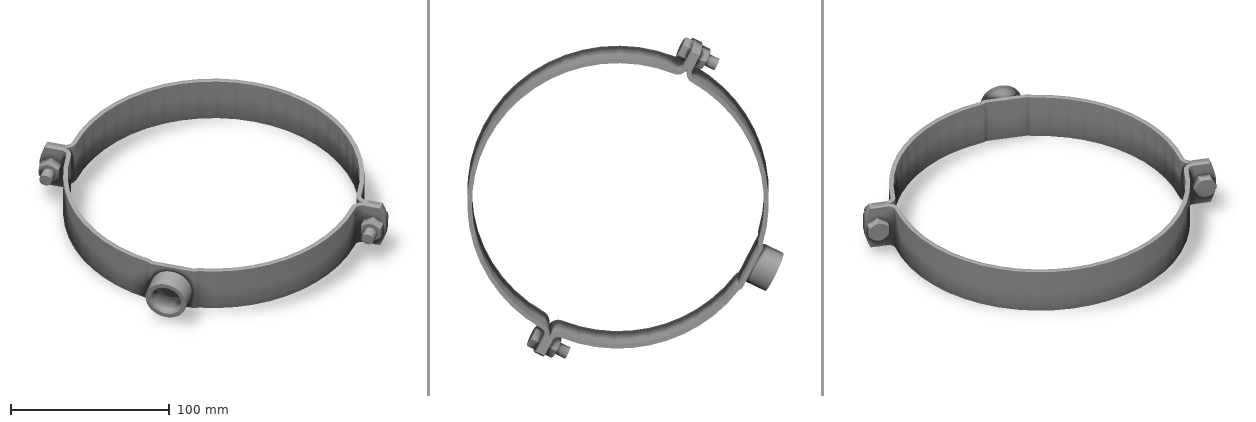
import cadquery as cq
import math

RING_DIAMETER = 190.0
STRIP = 3.0
WIDTH = 30.0
FLANGE_BEND = 4.0
FLANGE_TIP = 113.5
TIP_DROP = 3.6

SADDLE_FACE = 94.9
SADDLE_HALF = 13.5
SADDLE_BEND = 1.4

OVERALL_DEPTH = 205.0
SOCKET_DIAMETER = 26.5
SOCKET_BORE = 18.6
SOCKET_MOUTH = 20.9
SOCKET_BASE_CHAMFER = 1.8

BOLT_X = 105.5
BOLT_DIAMETER = 8.0
BOLT_LENGTH = 20.0
HEX_FLATS = 13.0
HEAD_HEIGHT = 5.5
NUT_HEIGHT = 6.5
HEX_CHAMFER_ANGLE = 30.0

RING_RADIUS = RING_DIAMETER / 2
SOCKET_END = OVERALL_DEPTH - RING_RADIUS
QUARTER_TURN = 90
HALF_TURN = 180
HEX_SIDES = 6
HEX_CORNERS = HEX_FLATS / math.cos(math.pi / HEX_SIDES)


def along(centre, distance, angle):
    """Point at a distance from a centre, the angle measured from +Y toward +X."""
    return (centre[0] + distance * math.sin(angle), centre[1] + distance * math.cos(angle))


def bend(outline, centre, radius, start, end):
    """Continue an outline with an arc that ends at the end angle."""
    middle = along(centre, radius, (start + end) / 2)
    return outline.threePointArc(middle, along(centre, radius, end))


def half_band(saddle):
    """Band on the +Y side of the parting plane, round or with a saddle at its middle."""
    origin = (0, 0)
    inner_radius = RING_RADIUS - STRIP
    wide_flange_bend = FLANGE_BEND + STRIP

    flange_centre_y = STRIP + FLANGE_BEND
    flange_centre = (math.sqrt((RING_RADIUS + FLANGE_BEND) ** 2 - flange_centre_y ** 2), flange_centre_y)
    ring_end = math.atan2(*flange_centre)
    down = math.pi
    bend_end = math.pi + ring_end

    if saddle:
        wide_bend = SADDLE_BEND + STRIP
        flat_centre = (SADDLE_HALF, SADDLE_FACE - wide_bend)
        reach = math.hypot(*flat_centre)
        ring_reach = RING_RADIUS + SADDLE_BEND
        spacing = SADDLE_BEND + wide_bend
        cosine = (reach ** 2 + ring_reach ** 2 - spacing ** 2) / (2 * reach * ring_reach)
        ring_start = math.atan2(*flat_centre) + math.acos(cosine)
        shoulder_centre = along(origin, ring_reach, ring_start)
        tilt = math.atan2(shoulder_centre[0] - flat_centre[0], shoulder_centre[1] - flat_centre[1])
        outline = cq.Workplane("XY").moveTo(0, SADDLE_FACE).lineTo(SADDLE_HALF, SADDLE_FACE)
        outline = bend(outline, flat_centre, wide_bend, 0, tilt)
        outline = bend(outline, shoulder_centre, SADDLE_BEND, math.pi + tilt, math.pi + ring_start)
    else:
        ring_start = 0
        outline = cq.Workplane("XY").moveTo(0, RING_RADIUS)

    outline = bend(outline, origin, RING_RADIUS, ring_start, ring_end)
    outline = bend(outline, flange_centre, FLANGE_BEND, bend_end, down)
    outline = outline.lineTo(FLANGE_TIP, STRIP).lineTo(FLANGE_TIP, 0).lineTo(flange_centre[0], 0)
    outline = bend(outline, flange_centre, wide_flange_bend, down, bend_end)
    outline = bend(outline, origin, inner_radius, ring_end, ring_start)
    if saddle:
        outline = bend(outline, shoulder_centre, wide_bend, math.pi + ring_start, math.pi + tilt)
        outline = bend(outline, flat_centre, SADDLE_BEND, tilt, 0)
        outline = outline.lineTo(0, SADDLE_FACE - STRIP)

    quarter = outline.close().extrude(WIDTH / 2, both=True)
    band = quarter.union(quarter.mirror("YZ"))
    return band.intersect(flange_end_shape()).cut(bolt_holes())


def flange_end_shape():
    """Block whose rounded ends trim the flanges."""
    corner_x = FLANGE_TIP - TIP_DROP
    half_width = WIDTH / 2
    return (
        cq.Workplane("XZ")
        .moveTo(-corner_x, half_width)
        .lineTo(corner_x, half_width)
        .threePointArc((FLANGE_TIP, 0), (corner_x, -half_width))
        .lineTo(-corner_x, -half_width)
        .threePointArc((-FLANGE_TIP, 0), (-corner_x, half_width))
        .close()
        .extrude(FLANGE_TIP, both=True)
    )


def bolt_holes():
    return (
        cq.Workplane("XZ")
        .pushPoints([(-BOLT_X, 0), (BOLT_X, 0)])
        .circle(BOLT_DIAMETER / 2)
        .extrude(BOLT_LENGTH, both=True)
    )


def socket():
    """Socket standing on the saddle, pointing to -Y."""
    length = SOCKET_END - SADDLE_FACE
    mouth_chamfer = (SOCKET_MOUTH - SOCKET_BORE) / 2
    body = cq.Workplane("XZ", origin=(0, -SADDLE_FACE, 0)).circle(SOCKET_DIAMETER / 2).extrude(length)
    body = body.faces(">Y").chamfer(SOCKET_BASE_CHAMFER)
    body = body.faces("<Y").workplane().hole(SOCKET_BORE)
    return body.faces("<Y").edges(cq.selectors.RadiusNthSelector(0)).chamfer(mouth_chamfer)


def hexagon(height):
    """Hexagonal prism from Y = 0 toward -Y, corners at +Z and -Z, chamfered at its far end."""
    prism = cq.Workplane("XZ").polygon(HEX_SIDES, HEX_CORNERS).extrude(height)
    prism = prism.rotate((0, 0, 0), (0, 1, 0), QUARTER_TURN)
    rim = (HEX_CORNERS - HEX_FLATS) / 2
    drop = rim * math.tan(math.radians(HEX_CHAMFER_ANGLE))
    turned = cq.Workplane("XZ").circle(HEX_CORNERS / 2).extrude(height).faces("<Y").chamfer(drop, rim)
    return prism.intersect(turned)


def bolt(x, turn):
    """Bolt with its head behind the rear flange, turned about its axis."""
    head = hexagon(HEAD_HEIGHT).mirror("XZ")
    shank = cq.Workplane("XZ").circle(BOLT_DIAMETER / 2).extrude(BOLT_LENGTH)
    return head.union(shank).rotate((0, 0, 0), (0, 1, 0), turn).translate((x, STRIP, 0))


def nut(x):
    """Nut against the front flange."""
    hole = cq.Workplane("XZ").circle(BOLT_DIAMETER / 2).extrude(NUT_HEIGHT)
    return hexagon(NUT_HEIGHT).cut(hole).translate((x, -STRIP, 0))


rear_band = half_band(saddle=False)
front_band = half_band(saddle=True).rotate((0, 0, 0), (0, 0, 1), HALF_TURN)
threaded_socket = socket()

bolts = [bolt(x, turn) for x, turn in ((-BOLT_X, QUARTER_TURN), (BOLT_X, 0))]
nuts = [nut(x) for x in (-BOLT_X, BOLT_X)]

for fitted_bolt in bolts:
    rear_band = rear_band.cut(fitted_bolt)

result = cq.Compound.makeCompound([
    rear_band.val(),
    front_band.val(),
    threaded_socket.val(),
    *[fitted_bolt.val() for fitted_bolt in bolts],
    *[fitted_nut.val() for fitted_nut in nuts],
])